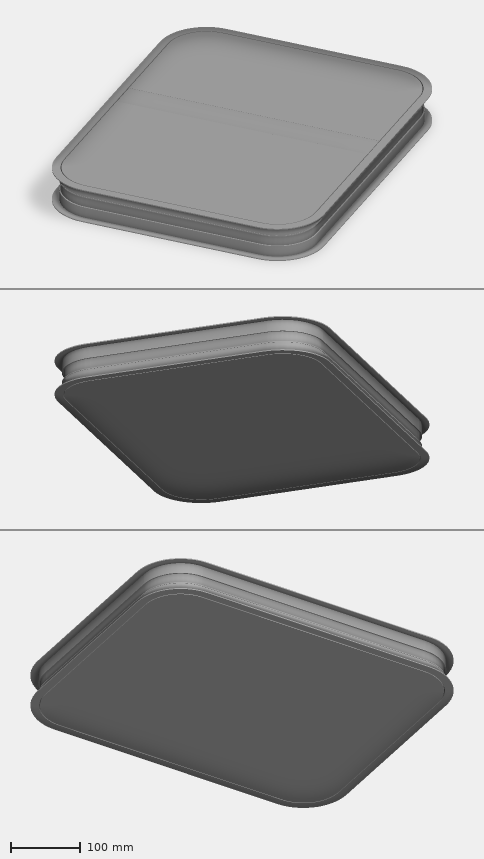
import cadquery as cq
import math

LENGTH = 522.0
WIDTH = 421.5
HEIGHT = 53.0
CORNER_RADIUS = 73.0

FLANGE_WIDTH = 11.0
SHEET_THICKNESS = 1.5
FRAME_HEIGHT = 19.0
LIP_WIDTH = 0.5

FRAME_GAP = 1.3
STRIP_WIDTH = 44.0
STRIP_DEPTH = 0.25

TOP = HEIGHT / 2
WALL_INSET = FLANGE_WIDTH + SHEET_THICKNESS
PANEL_INSET = WALL_INSET + FRAME_GAP


def make_frame_path():
    """Rounded rectangle along the flange edge, starting at the middle of the +Y side."""
    half_x = WIDTH / 2
    half_y = LENGTH / 2
    straight_x = half_x - CORNER_RADIUS
    straight_y = half_y - CORNER_RADIUS
    arc_reach = CORNER_RADIUS * math.sqrt(0.5)
    mid_x = straight_x + arc_reach
    mid_y = straight_y + arc_reach
    return (
        cq.Workplane("XY", origin=(0, 0, TOP))
        .moveTo(0, half_y)
        .lineTo(straight_x, half_y)
        .threePointArc((mid_x, mid_y), (half_x, straight_y))
        .lineTo(half_x, -straight_y)
        .threePointArc((mid_x, -mid_y), (straight_x, -half_y))
        .lineTo(-straight_x, -half_y)
        .threePointArc((-mid_x, -mid_y), (-half_x, -straight_y))
        .lineTo(-half_x, straight_y)
        .threePointArc((-mid_x, mid_y), (-straight_x, half_y))
        .close()
    )


def make_upper_frame():
    """Frame whose flange is flush with the top plane, swept round the outline as one profile."""
    flange_edge = LENGTH / 2
    wall_outer = flange_edge - FLANGE_WIDTH
    wall_inner = flange_edge - WALL_INSET
    lip_outer = wall_outer + LIP_WIDTH
    flange_bottom = TOP - SHEET_THICKNESS
    frame_bottom = TOP - FRAME_HEIGHT
    lip_top = frame_bottom + SHEET_THICKNESS
    profile = cq.Workplane("YZ").polyline(
        [
            (flange_edge, TOP),
            (flange_edge, flange_bottom),
            (wall_outer, flange_bottom),
            (wall_outer, lip_top),
            (lip_outer, lip_top),
            (lip_outer, frame_bottom),
            (wall_inner, frame_bottom),
            (wall_inner, TOP),
        ]
    ).close()
    return profile.sweep(make_frame_path(), clean=False)


def make_panel():
    """Full-height panel with a shallow strip recessed across its top face."""
    slab = (
        cq.Workplane("XY")
        .box(WIDTH - 2 * PANEL_INSET, LENGTH - 2 * PANEL_INSET, HEIGHT)
        .edges("|Z")
        .fillet(CORNER_RADIUS - PANEL_INSET)
    )
    strip = (
        cq.Workplane("XY", origin=(0, STRIP_WIDTH / 2, TOP))
        .rect(WIDTH, STRIP_WIDTH)
        .extrude(-STRIP_DEPTH)
    )
    return slab.cut(strip)


panel = make_panel()
upper_frame = make_upper_frame()
lower_frame = upper_frame.mirror("XY")

result = cq.Compound.makeCompound([panel.val(), upper_frame.val(), lower_frame.val()])